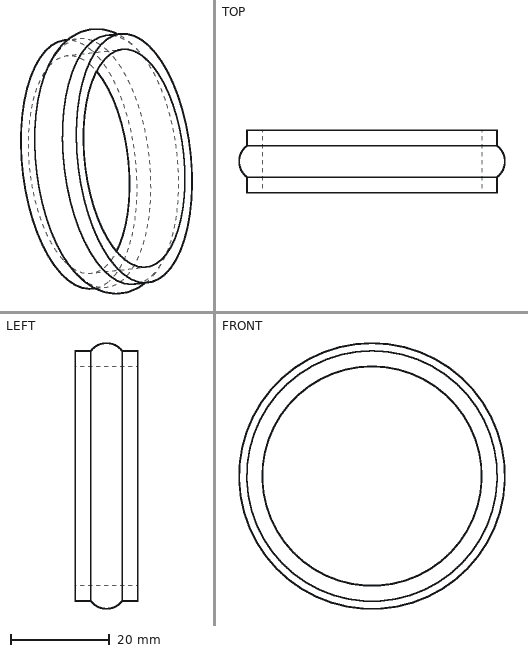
import cadquery as cq

ring_width = 12.7
bore_diameter = 44.45
band_diameter = 50.8
bead_diameter = 53.975
bead_width = 6.35

bore_radius = bore_diameter / 2
band_radius = band_diameter / 2
bead_radius = bead_diameter / 2
half_width = ring_width / 2
half_bead = bead_width / 2


def ring_section():
    """Half section in the YZ plane: flat band with a rounded bead around its middle."""
    return (
        cq.Workplane("YZ")
        .moveTo(-half_width, bore_radius)
        .lineTo(-half_width, band_radius)
        .lineTo(-half_bead, band_radius)
        .threePointArc((0, bead_radius), (half_bead, band_radius))
        .lineTo(half_width, band_radius)
        .lineTo(half_width, bore_radius)
        .close()
    )


result = ring_section().revolve(360, (0, 0, 0), (1, 0, 0))